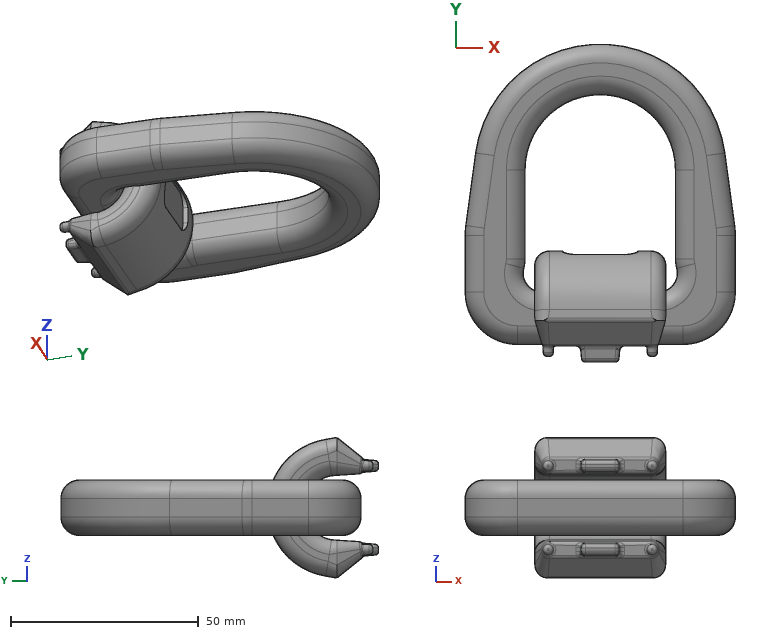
import cadquery as cq
import math


overall_length = 84.68

ring_length = 80.0
ring_width = 72.0
ring_height = 14.8
ring_edge_round = 5.0
crown_y = 46.5
crown_inner_radius = 20.0
crown_outer_radius = ring_length - crown_y
foot_corner_radius = 14.0
shoulder_y = 29.0
shoulder_radius = 20.0
bar_depth = 14.0
eye_corner_radius = 5.0
eye_corner_x = 15.5
eye_corner_y = bar_depth + eye_corner_radius
eye_blend_radius = 10.0

clip_width = 35.0
clip_axis_y = 6.5
clip_bore_radius = 8.6
clip_outer_radius = 18.45
clip_mid_radius = (clip_bore_radius + clip_outer_radius) / 2
clip_thickness = clip_outer_radius - clip_bore_radius
clip_edge_round = 4.0
bend_angle = 81.0

ridge_y = 6.45
ridge_top = 18.755
ridge_bottom = 8.6
ridge_width = 34.8
ridge_edge_round = 3.5
ridge_round = 1.5

nose_y = -0.4
nose_centre_z = 11.15
nose_height = 4.2
nose_width = 30.8
nose_edge_round = 1.9
nose_end_round = 1.0

tab_end_y = ring_length - overall_length
tab_width = 10.8
tab_height = 3.7
tab_taper = 5.0
tab_edge_round = 1.1
tab_root_round = 1.3

pin_end_y = -3.2
pin_spacing = 27.7
pin_radius = 1.5
pin_taper = 3.0
pin_end_round = 1.1
pin_root_round = 0.6
root_search = 0.8
root_overlap = 1.0

pocket_width = 20.0
pocket_height = 11.6
pocket_depth = 1.5
pocket_corner_radius = 3.5


def ring_outline():
    """Outer edge of the ring: crown arc, tapered sides, shoulders, straight sides, foot corners."""
    half_width = ring_width / 2
    shoulder_x = half_width - shoulder_radius
    foot_x = half_width - foot_corner_radius
    diagonal = 1 / math.sqrt(2)

    centre_drop = crown_y - shoulder_y
    radius_drop = crown_outer_radius - shoulder_radius
    centre_distance = math.hypot(shoulder_x, centre_drop)
    normal = math.acos(radius_drop / centre_distance) - math.atan2(centre_drop, shoulder_x)

    def on_shoulder(angle):
        x = shoulder_x + shoulder_radius * math.cos(angle)
        return x, shoulder_y + shoulder_radius * math.sin(angle)

    side_top_x = crown_outer_radius * math.cos(normal)
    side_top_y = crown_y + crown_outer_radius * math.sin(normal)
    side_foot_x, side_foot_y = on_shoulder(normal)
    shoulder_mid_x, shoulder_mid_y = on_shoulder(normal / 2)
    foot_mid_x = foot_x + foot_corner_radius * diagonal
    foot_mid_y = foot_corner_radius * (1 - diagonal)
    return (
        cq.Workplane("XY")
        .moveTo(-foot_x, 0)
        .lineTo(foot_x, 0)
        .threePointArc((foot_mid_x, foot_mid_y), (half_width, foot_corner_radius))
        .lineTo(half_width, shoulder_y)
        .threePointArc((shoulder_mid_x, shoulder_mid_y), (side_foot_x, side_foot_y))
        .lineTo(side_top_x, side_top_y)
        .threePointArc((0, ring_length), (-side_top_x, side_top_y))
        .lineTo(-side_foot_x, side_foot_y)
        .threePointArc((-shoulder_mid_x, shoulder_mid_y), (-half_width, shoulder_y))
        .lineTo(-half_width, foot_corner_radius)
        .threePointArc((-foot_mid_x, foot_mid_y), (-foot_x, 0))
        .close()
    )


def eye_outline():
    """Opening of the ring: crown arc, straight sides, and lower corners that bulge outward."""
    blend_x = crown_inner_radius + eye_blend_radius
    reach = eye_corner_radius + eye_blend_radius
    angle = math.acos((blend_x - eye_corner_x) / reach)
    blend_y = eye_corner_y + reach * math.sin(angle)
    diagonal = eye_corner_radius / math.sqrt(2)

    join_x = eye_corner_x + eye_corner_radius * math.cos(angle)
    join_y = eye_corner_y + eye_corner_radius * math.sin(angle)
    blend_mid_x = blend_x - eye_blend_radius * math.cos(angle / 2)
    blend_mid_y = blend_y - eye_blend_radius * math.sin(angle / 2)
    corner_mid = (eye_corner_x + diagonal, eye_corner_y - diagonal)
    return (
        cq.Workplane("XY")
        .moveTo(-eye_corner_x, bar_depth)
        .lineTo(eye_corner_x, bar_depth)
        .threePointArc(corner_mid, (join_x, join_y))
        .threePointArc((blend_mid_x, blend_mid_y), (crown_inner_radius, blend_y))
        .lineTo(crown_inner_radius, crown_y)
        .threePointArc((0, crown_y + crown_inner_radius), (-crown_inner_radius, crown_y))
        .lineTo(-crown_inner_radius, blend_y)
        .threePointArc((-blend_mid_x, blend_mid_y), (-join_x, join_y))
        .threePointArc((-corner_mid[0], corner_mid[1]), (-eye_corner_x, bar_depth))
        .close()
    )


def make_ring():
    blank = ring_outline().extrude(ring_height / 2, both=True)
    opening = eye_outline().extrude(ring_height, both=True)
    return blank.cut(opening).faces("|Z").edges().fillet(ring_edge_round)


def facing_minus_y(y, z):
    return cq.Plane(origin=(0, y, z), xDir=(1, 0, 0), normal=(0, -1, 0))


def rounded_rectangle(width, height, corner_radius):
    return cq.Sketch().rect(width, height).vertices().fillet(corner_radius)


def section_on(plane, width, height, corner_radius):
    return rounded_rectangle(width, height, corner_radius).moved(plane.location)


def make_bend():
    """Rounded bar section turned about the clip axis."""
    outline = rounded_rectangle(clip_width, clip_thickness, clip_edge_round)
    start = cq.Workplane("XY", origin=(0, clip_axis_y + clip_mid_radius, 0)).placeSketch(outline)
    bend = start.revolve(2 * bend_angle, (0, -clip_mid_radius), (1, -clip_mid_radius))
    return bend.rotate((0, clip_axis_y, 0), (1, clip_axis_y, 0), -bend_angle)


def make_ridge_trim():
    """Sliver outside a rounded ridge: its arc is tangent to the leg's back and to its slope."""
    ridge = cq.Vector(0, ridge_y, ridge_top)
    turn = math.radians(bend_angle)
    back_start = cq.Vector(
        0,
        clip_axis_y + clip_outer_radius * math.cos(turn),
        clip_outer_radius * math.sin(turn),
    )
    slope_end = cq.Vector(0, nose_y, nose_centre_z + nose_height / 2)
    to_back = (back_start - ridge).normalized()
    to_slope = (slope_end - ridge).normalized()
    inward = (to_back + to_slope).normalized()

    half_angle = to_back.getAngle(to_slope) / 2
    tangent_length = ridge_round / math.tan(half_angle)
    crest = ridge + inward * (ridge_round / math.sin(half_angle) - ridge_round)
    outside = ridge - inward
    points = [ridge + to_back * tangent_length, crest, ridge + to_slope * tangent_length, outside]
    back_point, crest_point, slope_point, outside_point = [(p.y, p.z) for p in points]
    return (
        cq.Workplane("YZ")
        .moveTo(*back_point)
        .threePointArc(crest_point, slope_point)
        .lineTo(*outside_point)
        .close()
        .extrude(clip_width, both=True)
    )


def make_leg():
    """Upper leg: from the end of the bend to the ridge, then down the slope to the nose."""
    turn = math.radians(bend_angle)
    bend_end = cq.Plane(
        origin=(
            0,
            clip_axis_y + clip_mid_radius * math.cos(turn),
            clip_mid_radius * math.sin(turn),
        ),
        xDir=(1, 0, 0),
        normal=(0, -math.sin(turn), math.cos(turn)),
    )
    ridge = facing_minus_y(ridge_y, (ridge_top + ridge_bottom) / 2)
    nose = facing_minus_y(nose_y, nose_centre_z)
    sections = [
        section_on(bend_end, clip_width, clip_thickness, clip_edge_round),
        section_on(ridge, ridge_width, ridge_top - ridge_bottom, ridge_edge_round),
        section_on(nose, nose_width, nose_height, nose_edge_round),
    ]
    leg = cq.Workplane("XY").placeSketch(*sections).loft(ruled=True)
    leg = leg.faces("<Y").edges().fillet(nose_end_round)
    return leg.cut(make_ridge_trim())


def make_tab():
    root = facing_minus_y(nose_y + root_overlap, nose_centre_z)
    length = nose_y + root_overlap - tab_end_y
    tab = cq.Workplane(root).rect(tab_width, tab_height).extrude(length, taper=tab_taper)
    return tab.edges("not >Y").fillet(tab_edge_round)


def make_pin(x):
    root = facing_minus_y(nose_y + root_overlap, nose_centre_z)
    length = nose_y + root_overlap - pin_end_y
    pin = cq.Workplane(root).center(x, 0).circle(pin_radius).extrude(length, taper=pin_taper)
    return pin.faces("<Y").edges().fillet(pin_end_round)


def make_pocket():
    """Shallow flat-bottomed pocket in the back of the bend."""
    back = cq.Plane(
        origin=(0, clip_axis_y + clip_outer_radius - pocket_depth, 0), xDir=(-1, 0, 0), normal=(0, 1, 0)
    )
    pocket = cq.Workplane(back).rect(pocket_width, pocket_height).extrude(2 * pocket_depth)
    return pocket.edges("|Y").fillet(pocket_corner_radius)


def root_edges(x):
    """Selects the edge across the nose's end that lies near x, at the nose's mid height."""
    low = (x - root_search, nose_y - root_search, nose_centre_z - root_search)
    high = (x + root_search, nose_y + root_search, nose_centre_z + root_search)
    return cq.selectors.BoxSelector(low, high)


def make_clip():
    leg = make_leg().union(make_tab())
    for side in (-1, 1):
        leg = leg.union(make_pin(side * pin_spacing / 2))
    tab_root = tab_width / 2
    leg = leg.edges(root_edges(-tab_root) + root_edges(tab_root)).fillet(tab_root_round)
    pin_root = pin_spacing / 2 - pin_radius
    leg = leg.edges(root_edges(-pin_root) + root_edges(pin_root)).fillet(pin_root_round)
    bend = make_bend().cut(make_pocket())
    return bend.union(leg).union(leg.mirror("XY"))


ring = make_ring()
clip = make_clip()
result = cq.Compound.makeCompound([ring.val(), *clip.vals()])